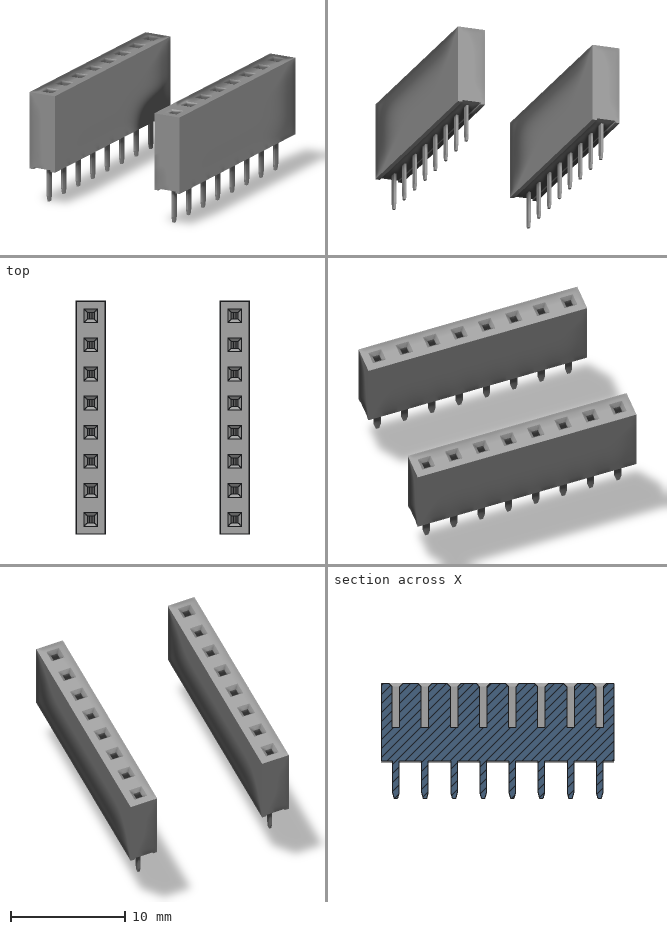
import cadquery as cq

PIN_COUNT = 8
PITCH = 2.55
STRIP_LENGTH = PIN_COUNT * PITCH
STRIP_WIDTH = 2.55
STRIP_HEIGHT = 7.0
STRIP_SPACING = 12.55

RAIL_WIDTH = 0.4
GROOVE_DEPTH = 0.16

MOUTH_SIZE = 1.2
WELL_SIZE = 0.6
LEAD_IN_DEPTH = 0.3
WELL_DEPTH = 4.06

PIN_THICKNESS = 0.2
PIN_WIDTH = WELL_SIZE
PIN_TIP_WIDTH = 0.3
PIN_LENGTH = 3.1
PIN_TAPER_LENGTH = 0.55
PIN_RISE = 0.2

TOP_Z = STRIP_HEIGHT
WELL_FLOOR_Z = TOP_Z - WELL_DEPTH
PIN_TOP_Z = WELL_FLOOR_Z + PIN_RISE
PIN_TIP_Z = -PIN_LENGTH
PIN_POSITIONS = [(i - (PIN_COUNT - 1) / 2) * PITCH for i in range(PIN_COUNT)]


def make_strip():
    """Plain housing block with the grooved underside, base at Z = 0."""
    block = cq.Workplane("XY").box(STRIP_WIDTH, STRIP_LENGTH, STRIP_HEIGHT, centered=(True, True, False))
    groove = cq.Workplane("XY").box(
        STRIP_WIDTH - 2 * RAIL_WIDTH, STRIP_LENGTH, GROOVE_DEPTH, centered=(True, True, False)
    )
    return block.cut(groove)


def make_socket(y):
    """Cutter for one socket: a tapered mouth above a straight square well."""
    well = (
        cq.Workplane("XY", origin=(0, y, WELL_FLOOR_Z))
        .rect(WELL_SIZE, WELL_SIZE)
        .extrude(WELL_DEPTH)
    )
    lead_in = (
        cq.Workplane("XY", origin=(0, y, TOP_Z))
        .rect(MOUTH_SIZE, MOUTH_SIZE)
        .workplane(offset=-LEAD_IN_DEPTH)
        .rect(WELL_SIZE, WELL_SIZE)
        .loft(ruled=True)
    )
    return well.union(lead_in)


def make_pin(y):
    """Flat pin from just above the well floor down to its tapered tip."""
    taper_z = PIN_TIP_Z + PIN_TAPER_LENGTH
    return (
        cq.Workplane("YZ", origin=(-PIN_THICKNESS / 2, y, 0))
        .moveTo(-PIN_WIDTH / 2, PIN_TOP_Z)
        .lineTo(PIN_WIDTH / 2, PIN_TOP_Z)
        .lineTo(PIN_WIDTH / 2, taper_z)
        .lineTo(PIN_TIP_WIDTH / 2, PIN_TIP_Z)
        .lineTo(-PIN_TIP_WIDTH / 2, PIN_TIP_Z)
        .lineTo(-PIN_WIDTH / 2, taper_z)
        .close()
        .extrude(PIN_THICKNESS)
    )


def make_header(x):
    """One complete socket header, its pins moulded into the housing."""
    header = make_strip()
    for y in PIN_POSITIONS:
        header = header.cut(make_socket(y)).union(make_pin(y))
    return header.translate((x, 0, 0))


headers = [make_header(side * STRIP_SPACING / 2) for side in (-1, 1)]

result = cq.Compound.makeCompound([header.val() for header in headers])